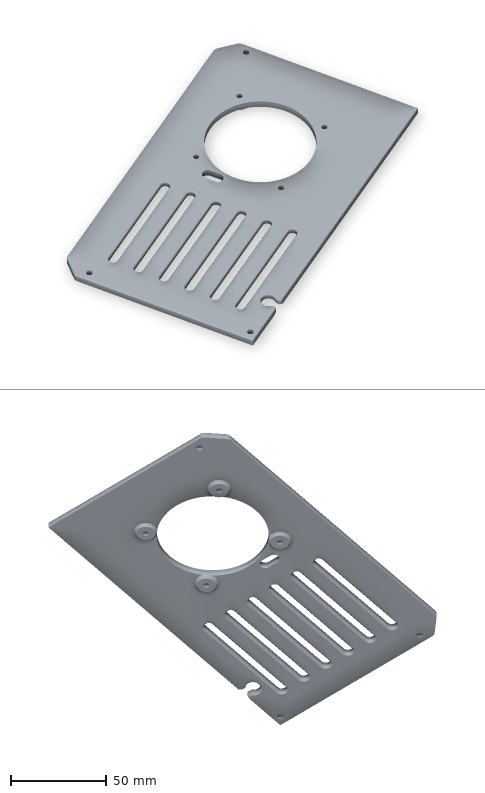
import cadquery as cq
LENGTH = 191.0
WIDTH = 115.0
THICKNESS = 4.0
RIGHT_EDGE = WIDTH / 2
CORNER_CUT = 10.0
CORNER_RADIUS = 3.0
RIM_RADIUS = 1.0
UNDERSIDE_CHAMFER = 1.0

FAN_X = -5.0
FAN_Y = 35.5
FAN_DIAMETER = 59.0
SCREW_SPACING = 50.0
SCREW_DIAMETER = 3.2
BOSS_DIAMETER = 13.0
BOSS_HEIGHT = 1.5
BOSS_TIP_DIAMETER = BOSS_DIAMETER - 2 * BOSS_HEIGHT

CABLE_X = FAN_X - 10.9
CABLE_Y = 2.0
CABLE_LENGTH = 12.0
CABLE_WIDTH = 6.0

VENT_COUNT = 6
VENT_ROW_SPAN = 75.0
VENT_PITCH = VENT_ROW_SPAN / (VENT_COUNT - 1)
VENTS_LEFT_OF_FAN = 2
VENT_FIRST_X = FAN_X - VENTS_LEFT_OF_FAN * VENT_PITCH
VENT_Y = -45.6
VENT_LENGTH = 65.0
VENT_WIDTH = 5.0

NOTCH_X = RIGHT_EDGE - 6.1
NOTCH_Y = -65.5
NOTCH_DIAMETER = 8.0
NECK_WIDTH = 5.0
MOUTH_CHAMFER = 0.5

MOUNT_DIAMETER = 3.5
MOUNT_LEFT_X = 16.0 - WIDTH / 2
MOUNT_RIGHT_X = RIGHT_EDGE - 4.0
MOUNT_Y = LENGTH / 2 - 5.0
MOUNT_POINTS = [
    (MOUNT_LEFT_X, MOUNT_Y),
    (MOUNT_LEFT_X, -MOUNT_Y),
    (MOUNT_RIGHT_X, -MOUNT_Y),
]

HALF_SPACING = SCREW_SPACING / 2
SCREW_POINTS = [
    (FAN_X + side * HALF_SPACING, FAN_Y + end * HALF_SPACING)
    for side in (-1, 1)
    for end in (-1, 1)
]


def make_blank():
    """Plate outline with both left corners cut off and the cuts blended into the sides."""
    blank = cq.Workplane("XY").box(WIDTH, LENGTH, THICKNESS, centered=(True, True, False))
    blank = blank.edges("|Z and <X").chamfer(CORNER_CUT)
    return blank.edges("|Z and (not >X)").fillet(CORNER_RADIUS)


def make_vents():
    points = [(VENT_FIRST_X + i * VENT_PITCH, VENT_Y) for i in range(VENT_COUNT)]
    return cq.Workplane("XY").pushPoints(points).slot2D(VENT_LENGTH, VENT_WIDTH, 90).extrude(THICKNESS)


def cut_notch(plate):
    """Cut the keyhole and bevel the two upright corners of its mouth."""
    neck_length = RIGHT_EDGE - NOTCH_X
    head = cq.Workplane("XY").center(NOTCH_X, NOTCH_Y).circle(NOTCH_DIAMETER / 2).extrude(THICKNESS)
    neck = (
        cq.Workplane("XY")
        .center(NOTCH_X + neck_length / 2, NOTCH_Y)
        .rect(neck_length, NECK_WIDTH)
        .extrude(THICKNESS)
    )
    plate = plate.cut(head.union(neck))
    mouth = cq.selectors.BoxSelector(
        (RIGHT_EDGE - MOUTH_CHAMFER, NOTCH_Y - NECK_WIDTH, 0),
        (RIGHT_EDGE + MOUTH_CHAMFER, NOTCH_Y + NECK_WIDTH, THICKNESS),
    )
    return plate.edges("|Z").edges(mouth).chamfer(MOUTH_CHAMFER)


def round_top_rim(plate):
    """Round every top edge except the straight ones along the right side."""
    return plate.faces(">Z").edges("not >X").fillet(RIM_RADIUS)


def bevel_underside(plate):
    """Bevel the lower edges of the vents and the notch; the outer rim stays sharp."""
    mouth_margin = MOUTH_CHAMFER / 4
    half_height = VENT_LENGTH / 2 + UNDERSIDE_CHAMFER
    openings = cq.selectors.BoxSelector(
        (VENT_FIRST_X - VENT_WIDTH, VENT_Y - half_height, -UNDERSIDE_CHAMFER),
        (RIGHT_EDGE - mouth_margin, VENT_Y + half_height, UNDERSIDE_CHAMFER),
    )
    return plate.faces("<Z").edges(openings).chamfer(UNDERSIDE_CHAMFER)


def make_boss(x, y):
    """Cone frustum hanging from the underside, tapering at 45 degrees."""
    down = cq.Vector(0, 0, -1)
    base = cq.Vector(x, y, 0)
    return cq.Solid.makeCone(BOSS_DIAMETER / 2, BOSS_TIP_DIAMETER / 2, BOSS_HEIGHT, base, down)


def drill(body, points, diameter):
    """Cut round holes through the plate and the bosses."""
    low = cq.Workplane("XY").workplane(offset=-BOSS_HEIGHT)
    return body.cut(low.pushPoints(points).circle(diameter / 2).extrude(BOSS_HEIGHT + THICKNESS))


plate = make_blank().cut(make_vents())
plate = cut_notch(plate)
plate = round_top_rim(plate)
plate = bevel_underside(plate)
for x, y in SCREW_POINTS:
    plate = plate.union(cq.Workplane(make_boss(x, y)))

plate = drill(plate, [(FAN_X, FAN_Y)], FAN_DIAMETER)
plate = drill(plate, SCREW_POINTS, SCREW_DIAMETER)
plate = drill(plate, MOUNT_POINTS, MOUNT_DIAMETER)

cable_slot = cq.Workplane("XY").center(CABLE_X, CABLE_Y).slot2D(CABLE_LENGTH, CABLE_WIDTH).extrude(THICKNESS)
result = plate.cut(cable_slot)